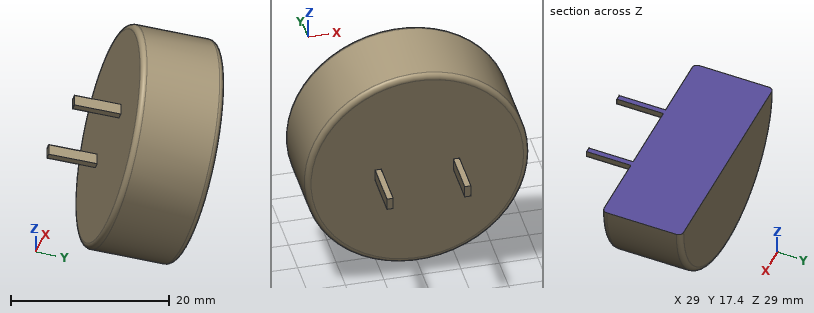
import cadquery as cq

body_diameter = 29.0
body_depth = 11.0
edge_radius = 0.7

pin_width = 0.8
pin_height = 1.6
pin_pitch = 10.16
left_pin_length = 6.4
right_pin_length = 6.1


def make_body():
    """Disc with both rims rounded."""
    disc = cq.Workplane("XZ").circle(body_diameter / 2).extrude(-body_depth)
    return disc.faces("<Y or >Y").edges().fillet(edge_radius)


def make_pin(x_center, length):
    """Straight pin running from the front face toward -Y."""
    return cq.Workplane("XZ").center(x_center, 0).rect(pin_width, pin_height).extrude(length)


result = make_body()
for x_center, length in (
    (-pin_pitch / 2, left_pin_length),
    (pin_pitch / 2, right_pin_length),
):
    result = result.union(make_pin(x_center, length))